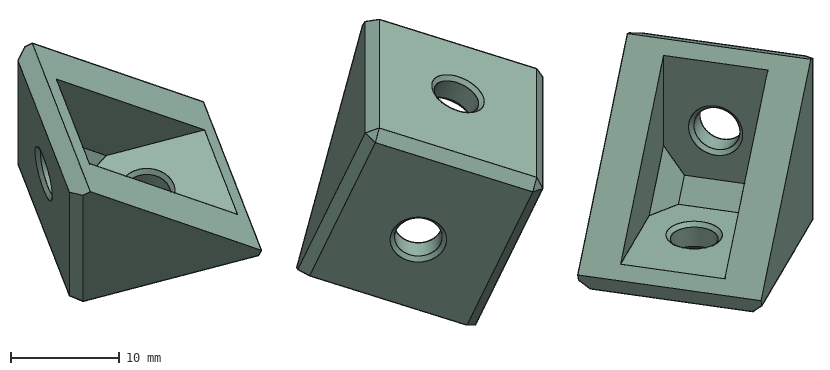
import cadquery as cq
import math

width = 17.6
leg = 20.0
edge_chamfer = 1.0
tip_half_angle = 22.5
tip_cut = edge_chamfer / math.tan(math.radians(tip_half_angle))

pocket_corner_distance = 4.0
wall = pocket_corner_distance / math.sqrt(2)
pocket_width = 10.0

web_leg = 2.0
web_flank = 2.0

hole_diameter = 4.4
countersink_diameter = 5.2
hole_position = leg / 2


def make_body():
    tip_step = tip_cut / math.sqrt(2)
    outline = [
        (0, 0),
        (leg - tip_cut, 0),
        (leg - tip_step, tip_step),
        (tip_step, leg - tip_step),
        (0, leg - tip_cut),
    ]
    body = cq.Workplane("YZ").polyline(outline).close().extrude(width / 2, both=True)
    return body.faces("<Y or <Z").edges("|Z or |Y or (<Y and <Z)").chamfer(edge_chamfer)


def make_pocket():
    """Triangular prism between the walls, limited to the space above the corner web and its flanks."""
    far_end = leg - wall
    prism = (
        cq.Workplane("YZ")
        .polyline([(wall, wall), (far_end, wall), (wall, far_end)])
        .close()
        .extrude(pocket_width / 2, both=True)
    )

    half_width = pocket_width / 2
    web_half_width = half_width - web_flank
    web_height = pocket_corner_distance + web_leg / math.sqrt(2)
    section = [
        (-web_half_width, web_height),
        (web_half_width, web_height),
        (half_width, web_height + web_flank),
        (half_width, leg),
        (-half_width, leg),
        (-half_width, web_height + web_flank),
    ]
    across_slope = cq.Plane(origin=(0, 0, 0), xDir=(1, 0, 0), normal=(0, -1, 1))
    above_web = cq.Workplane(across_slope).polyline(section).close().extrude(leg, both=True)
    return prism.intersect(above_web)


def make_screw_hole(plane):
    """Hole through one wall, starting on the given plane, with 45 degree countersinks at both ends."""
    hole_radius = hole_diameter / 2
    countersink_radius = countersink_diameter / 2
    countersink_depth = countersink_radius - hole_radius
    half_profile = [
        (0, 0),
        (countersink_radius, 0),
        (hole_radius, countersink_depth),
        (hole_radius, wall - countersink_depth),
        (countersink_radius, wall),
        (0, wall),
    ]
    axial_plane = cq.Plane(
        origin=plane.toWorldCoords((0, hole_position, 0)),
        xDir=plane.xDir,
        normal=-plane.yDir,
    )
    return cq.Workplane(axial_plane).polyline(half_profile).close().revolve(360, (0, 0), (0, 1))


bottom_plane = cq.Plane.named("XY")
front_inner_plane = cq.Plane.named("XZ", origin=(0, wall, 0))

result = make_body().cut(make_pocket())
for hole_plane in (bottom_plane, front_inner_plane):
    result = result.cut(make_screw_hole(hole_plane))